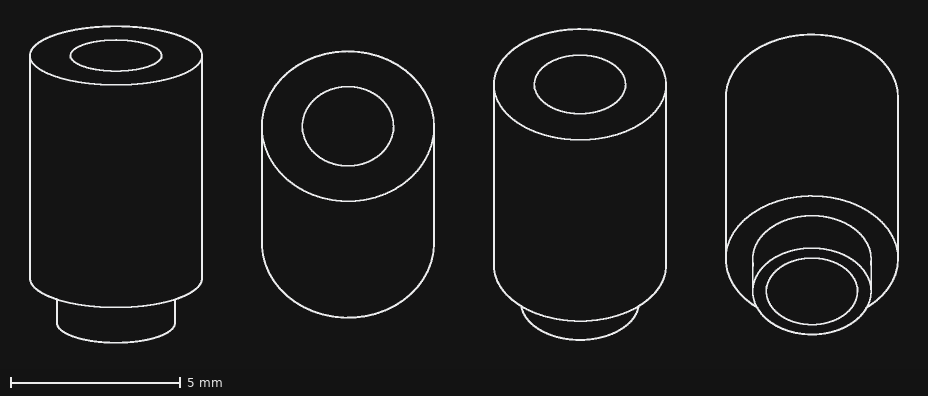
import cadquery as cq

total_height = 8.4
spigot_height = 1.4
body_diameter = 5.1
spigot_diameter = 3.5
bore_diameter = 2.7

body_height = total_height - spigot_height

spigot = cq.Workplane("XY").circle(spigot_diameter / 2).extrude(spigot_height)

spacer = spigot.faces(">Z").workplane().circle(body_diameter / 2).extrude(body_height)

result = spacer.faces(">Z").workplane().circle(bore_diameter / 2).cutThruAll()